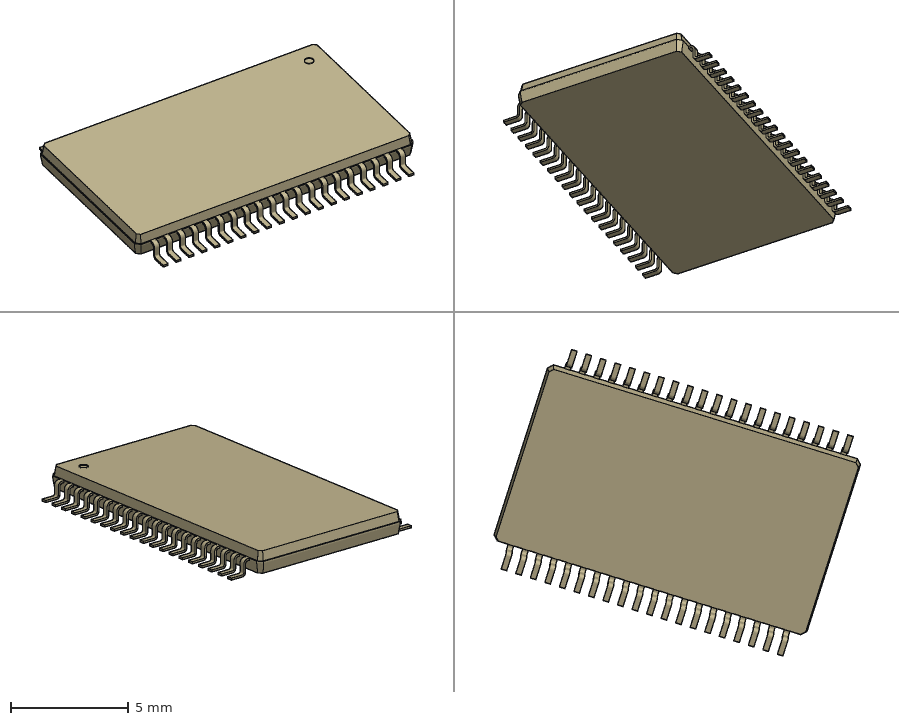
import cadquery as cq
import math

length = 14.0
lead_span = 10.0
height = 1.2

body_width = 8.01
body_standoff = 0.2
corner_chamfer = 0.21
draft_angle = 10.0
ledge = 0.05

leads_per_side = 20
lead_row_length = 12.35
lead_pitch = lead_row_length / (leads_per_side - 1)
lead_width = 0.25
lead_thickness = 0.1
lead_top = 0.77
foot_length = 0.69
shoulder_radius = 0.22
ankle_radius = 0.18
lead_embed = 0.28

mark_diameter = 0.4
mark_depth = 0.04
mark_x = -2.97
mark_y = 5.98

band_top = lead_top
band_bottom = lead_top - lead_thickness


def body_block(z, inset, block_height, draft=0):
    """Corner-chamfered block grown from height z; a negative block height grows downward."""
    chamfer = corner_chamfer - inset * (2 - math.sqrt(2))
    profile = (
        cq.Sketch()
        .rect(body_width - 2 * inset, length - 2 * inset)
        .vertices()
        .chamfer(chamfer)
    )
    return (
        cq.Workplane("XY", origin=(0, 0, z))
        .placeSketch(profile)
        .extrude(block_height, taper=draft)
    )


def make_body():
    band = body_block(band_bottom, 0, lead_thickness)
    upper = body_block(band_top, ledge, height - band_top, draft_angle)
    lower = body_block(band_bottom, 0, body_standoff - band_bottom, draft_angle)
    return band.union(upper).union(lower)


def make_lead():
    """One lead on the -X side, centred on Y = 0."""
    tip_x = -lead_span / 2
    outer_x = tip_x + foot_length
    inner_x = outer_x + lead_thickness
    root_x = -body_width / 2 + lead_embed
    shoulder_inner = shoulder_radius - lead_thickness
    ankle_inner = ankle_radius - lead_thickness
    shoulder_bottom = lead_top - lead_thickness
    shoulder_x = outer_x + shoulder_radius
    shoulder_z = lead_top - shoulder_radius
    ankle_x = inner_x - ankle_radius

    return (
        cq.Workplane("XZ", origin=(0, lead_width / 2, 0))
        .moveTo(tip_x, 0)
        .lineTo(ankle_x, 0)
        .radiusArc((inner_x, ankle_radius), -ankle_radius)
        .lineTo(inner_x, shoulder_z)
        .radiusArc((shoulder_x, shoulder_bottom), shoulder_inner)
        .lineTo(root_x, shoulder_bottom)
        .lineTo(root_x, lead_top)
        .lineTo(shoulder_x, lead_top)
        .radiusArc((outer_x, shoulder_z), -shoulder_radius)
        .lineTo(outer_x, ankle_radius)
        .radiusArc((ankle_x, lead_thickness), ankle_inner)
        .lineTo(tip_x, lead_thickness)
        .close()
        .extrude(lead_width)
    )


def make_mark():
    """Cutter for the shallow round pin 1 recess in the top face."""
    return (
        cq.Workplane("XY", origin=(mark_x, mark_y, height - mark_depth))
        .circle(mark_diameter / 2)
        .extrude(mark_depth)
    )


result = make_body().cut(make_mark())
lead = make_lead()
for i in range(leads_per_side):
    lead_y = i * lead_pitch - lead_row_length / 2
    left_lead = lead.translate((0, lead_y, 0))
    result = result.union(left_lead).union(left_lead.mirror("YZ"))